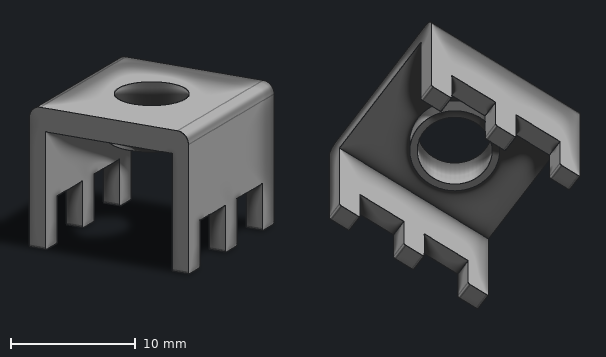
import cadquery as cq

width = 14.5
depth = 14.5
height = 12.0

plate_thickness = 2.0
wall_thickness = 1.5
bend_radius = 1.0

collar_diameter = 7.2
collar_height = 1.75
hole_diameter = 6.0

pin_count = 3
pin_width = 2.0
pin_length = 4.0
pin_tip_radius = 0.2

plate_underside = height - plate_thickness


def channel():
    """Downward-open channel with rounded outer top edges."""
    block = cq.Workplane("XY").box(width, depth, height, centered=(True, True, False))
    block = block.edges("|Y and >Z").fillet(bend_radius)
    inner_width = width - 2 * wall_thickness
    cavity = cq.Workplane("XY").box(inner_width, depth, plate_underside, centered=(True, True, False))
    return block.cut(cavity)


def pin_gaps():
    """Two slots across both walls that leave three equally spaced pins."""
    gap_width = (depth - pin_count * pin_width) / (pin_count - 1)
    gap_offset = (gap_width + pin_width) / 2
    return (
        cq.Workplane("XY")
        .pushPoints([(0, -gap_offset), (0, gap_offset)])
        .box(width, gap_width, pin_length, centered=(True, True, False))
    )


def collar():
    """Round collar hanging from the plate."""
    return (
        cq.Workplane("XY")
        .workplane(offset=plate_underside - collar_height)
        .circle(collar_diameter / 2)
        .extrude(collar_height)
    )


def through_hole():
    """Bore through plate and collar."""
    return cq.Workplane("XY").circle(hole_diameter / 2).extrude(height)


body = channel().cut(pin_gaps())
body = body.faces("<Z").edges("|X").fillet(pin_tip_radius)
result = body.union(collar()).cut(through_hole())